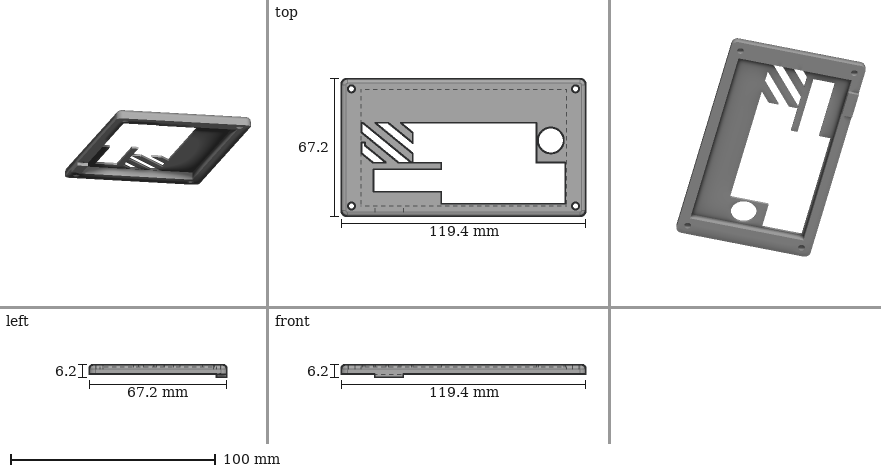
import cadquery as cq
import math

length = 119.4
width = 67.2
total_height = 6.2
tab_height = 1.5
frame_height = total_height - tab_height
corner_radius = 3.0
top_edge_radius = 2.1

panel_thickness = 1.0
side_rim = 9.5
end_rim = 5.1

screw_diameter = 3.3
screw_inset = 5.0
round_window_diameter = 12.5
round_window_x = 102.3
round_window_y = 37.0

window_top = 45.6
window_middle = 26.2
window_bottom = 6.2
upper_window_right = 95.3
lower_window_left = 49.0
lower_window_right = 109.3
slot_left = 15.9
slot_bottom = 12.1
slot_top = 22.9

grille_left = 10.0
grille_right = 35.0
grille_height = window_top - window_middle
bar_angle = 39.3
bar_width_x = 6.2
bar_pitch_x = 2 * bar_width_x
bar_count = 4
first_bar_offset = -0.6
notch_width = 1.5
notch_height = 1.4
notch_top = window_middle + 9.8

tab_left = 16.4
tab_right = 30.3
tab_depth = end_rim


def box(x_min, x_max, y_min, y_max, z_min=0.0, z_max=total_height):
    size = (x_max - x_min, y_max - y_min, z_max - z_min)
    return cq.Workplane("XY").box(*size, centered=False).translate((x_min, y_min, z_min))


def make_frame():
    frame = box(0, length, 0, width, tab_height)
    frame = frame.edges("|Z").fillet(corner_radius)
    frame = frame.faces(">Z").edges().fillet(top_edge_radius)
    recess = box(
        side_rim, length - side_rim, end_rim, width - end_rim,
        tab_height, total_height - panel_thickness,
    )
    return frame.cut(recess)


def make_grille_bars():
    run = grille_height / math.tan(math.radians(bar_angle))
    grille = box(grille_left, grille_right, window_middle, window_top)
    bars = cq.Workplane("XY")
    for index in range(bar_count):
        start = grille_left + first_bar_offset + index * bar_pitch_x
        end = start + bar_width_x
        bar = (
            cq.Workplane("XY")
            .polyline([
                (start, window_middle),
                (end, window_middle),
                (end - run, window_top),
                (start - run, window_top),
            ])
            .close()
            .extrude(total_height)
        )
        bars = bars.add(bar.intersect(grille))
    notch = box(grille_left, grille_left + notch_width, notch_top - notch_height, notch_top)
    return bars.combine().cut(notch)


def make_window():
    upper = box(grille_left, upper_window_right, window_middle, window_top).cut(make_grille_bars())
    lower = box(lower_window_left, lower_window_right, window_bottom, window_middle)
    slot = box(slot_left, lower_window_left, slot_bottom, slot_top)
    return upper.union(lower).union(slot)


def make_round_holes():
    screws = (
        cq.Workplane("XY")
        .center(length / 2, width / 2)
        .rect(length - 2 * screw_inset, width - 2 * screw_inset, forConstruction=True)
        .vertices()
        .circle(screw_diameter / 2)
        .extrude(total_height)
    )
    round_window = (
        cq.Workplane("XY")
        .center(round_window_x, round_window_y)
        .circle(round_window_diameter / 2)
        .extrude(total_height)
    )
    return screws.union(round_window)


tab = box(tab_left, tab_right, 0, tab_depth, 0, tab_height)
result = make_frame().union(tab).cut(make_window()).cut(make_round_holes())